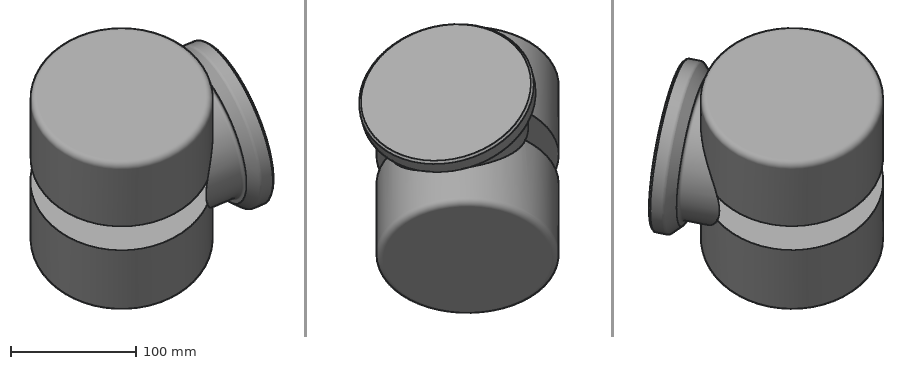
import cadquery as cq

drum_radius = 73.0
overall_height = 182.3
gap_height = 29.5
drum_edge_fillet = 5.5

neck_angle = 45
neck_radius = 57.2
neck_root_fillet = 2.3
flange_radius = 70.9
flange_front = 79.5
flange_back = 100.8
front_bevel = 8.5
bevel_edge_fillet = 2.9
back_chamfer = 2.0


def make_drum():
    """Upper drum, with its outer end rounded and its gap side sharp."""
    drum_height = (overall_height - gap_height) / 2
    return (
        cq.Workplane("XY", origin=(0, 0, gap_height / 2))
        .circle(drum_radius)
        .extrude(drum_height)
        .faces(">Z")
        .edges()
        .fillet(drum_edge_fillet)
    )


def circle_at(distance, radius):
    """Selector for the circular edge around X at a given distance and radius."""
    margin = 0.2
    return cq.selectors.BoxSelector(
        (distance - margin, -radius - margin, -radius - margin),
        (distance + margin, radius + margin, radius + margin),
        boundingbox=True,
    )


def make_flanged_neck():
    """Neck and flange, with the neck end hollowed to the drum radius."""
    front_face_radius = flange_radius - front_bevel
    rim_start = flange_front + front_bevel

    neck = cq.Workplane("YZ").circle(neck_radius).extrude(flange_front)
    flange = (
        cq.Workplane("XY")
        .moveTo(flange_front, 0)
        .lineTo(flange_front, front_face_radius)
        .lineTo(rim_start, flange_radius)
        .lineTo(flange_back - back_chamfer, flange_radius)
        .lineTo(flange_back, flange_radius - back_chamfer)
        .lineTo(flange_back, 0)
        .close()
        .revolve(360, (0, 0, 0), (1, 0, 0))
    )
    flanged_neck = (
        neck.union(flange)
        .edges(circle_at(flange_front, neck_radius))
        .fillet(neck_root_fillet)
        .edges(circle_at(rim_start, flange_radius))
        .fillet(bevel_edge_fillet)
    )
    drum_space = cq.Workplane("XY").circle(drum_radius).extrude(overall_height / 2, both=True)
    return flanged_neck.cut(drum_space).rotate((0, 0, 0), (0, 0, 1), neck_angle)


upper_drum = make_drum()
lower_drum = upper_drum.mirror("XY")
result = make_flanged_neck().union(upper_drum).union(lower_drum)